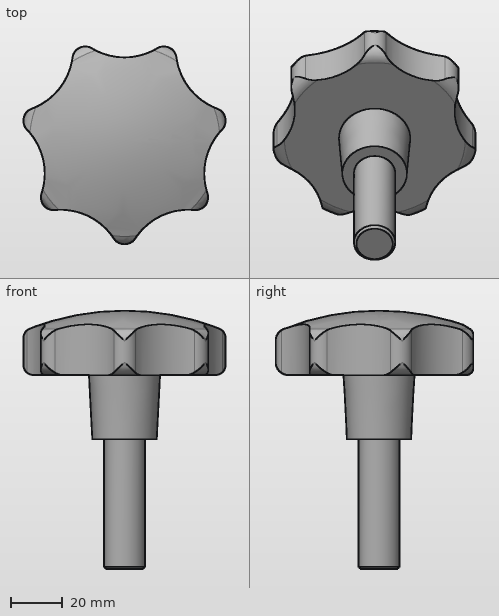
import cadquery as cq
import math

total_height = 100.0
head_bottom = 75.0
hub_bottom = 50.2

lobe_count = 7
lobe_radius = 5.0
lobe_center_radius = 35.0
head_radius = lobe_center_radius + lobe_radius
waist_radius = 32.3
dome_radius = 100.0
rim_fillet = 5.0

hub_top_radius = 13.8
hub_bottom_radius = 12.5
stud_radius = 8.0
stud_chamfer = 1.0

lobe_pitch = 2 * math.pi / lobe_count
first_lobe_angle = -math.pi / 2


def polar(radius, angle):
    return (radius * math.cos(angle), radius * math.sin(angle))


def lobed_prism():
    """Prism whose round lobes run tangentially into concave scallops."""
    half_pitch = lobe_pitch / 2
    reach = waist_radius - lobe_radius
    scallop_center_radius = (lobe_center_radius**2 - reach**2) / (
        2 * (lobe_center_radius * math.cos(half_pitch) - reach)
    )
    center_x, center_y = polar(scallop_center_radius, half_pitch)
    direction = math.atan2(center_y, center_x - lobe_center_radius)
    tangent_x = lobe_center_radius + lobe_radius * math.cos(direction)
    tangent_y = lobe_radius * math.sin(direction)
    tangent_radius = math.hypot(tangent_x, tangent_y)
    tangent_angle = math.atan2(tangent_y, tangent_x)

    outline = cq.Workplane("XY", origin=(0, 0, head_bottom))
    outline = outline.moveTo(*polar(tangent_radius, first_lobe_angle - tangent_angle))
    for index in range(lobe_count):
        angle = first_lobe_angle + index * lobe_pitch
        outline = outline.threePointArc(
            polar(head_radius, angle),
            polar(tangent_radius, angle + tangent_angle),
        )
        outline = outline.threePointArc(
            polar(waist_radius, angle + half_pitch),
            polar(tangent_radius, angle + lobe_pitch - tangent_angle),
        )
    return outline.close().extrude(total_height - head_bottom)


def domed_blank():
    """Round blank with a spherical top and rounded upper and lower rims."""
    disc = cq.Workplane("XY", origin=(0, 0, head_bottom)).circle(head_radius)
    disc = disc.extrude(total_height - head_bottom)
    dome = cq.Workplane("XY", origin=(0, 0, total_height - dome_radius)).sphere(dome_radius)
    return disc.intersect(dome).edges("%CIRCLE").fillet(rim_fillet)


def hub():
    hub_height = head_bottom - hub_bottom
    return (
        cq.Workplane("XY", origin=(0, 0, hub_bottom))
        .circle(hub_bottom_radius)
        .workplane(offset=hub_height)
        .circle(hub_top_radius)
        .loft()
    )


def stud():
    return cq.Workplane("XY").circle(stud_radius).extrude(hub_bottom).faces("<Z").chamfer(stud_chamfer)


head = domed_blank().intersect(lobed_prism())
result = head.union(hub()).union(stud())